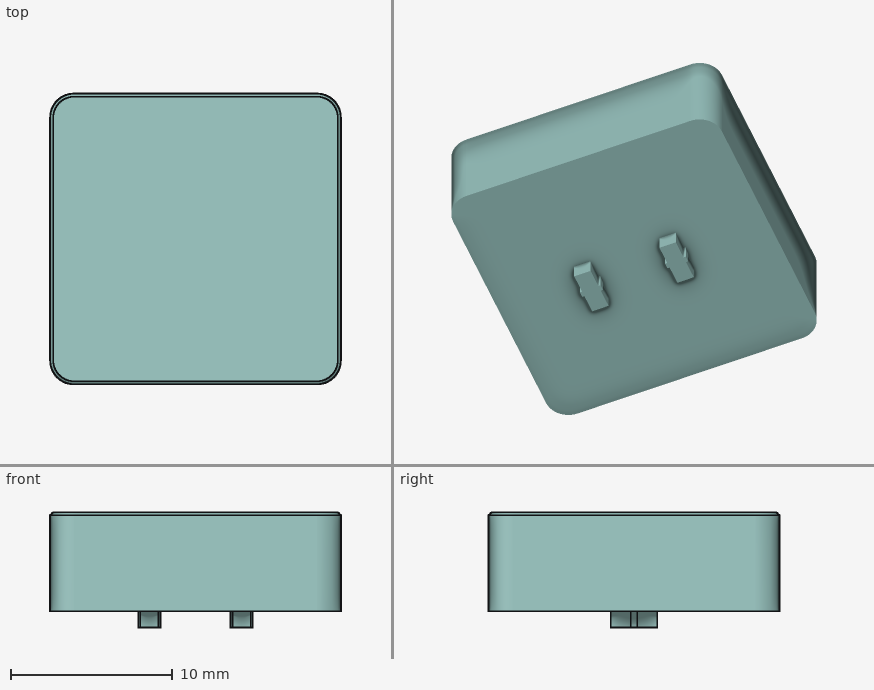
import cadquery as cq

side = 18.0
total_height = 7.15

leg_height = 1.0
body_height = total_height - leg_height
corner_radius = 1.5
top_bevel = 0.2

leg_spacing = 5.7
leg_thickness = 1.1
leg_length = 2.9
rib_width = 0.38
rib_projection = 0.15


def make_body():
    """Cap body with its underside at Z = 0."""
    block = cq.Workplane("XY").rect(side, side).extrude(body_height)
    rounded = block.edges("|Z").fillet(corner_radius)
    return rounded.faces(">Z").edges().chamfer(top_bevel)


def make_leg(center_x):
    """Leg hanging below Z = 0, cross-shaped in plan because of its ribs."""
    plane = cq.Workplane("XY").center(center_x, 0)
    blade = plane.rect(leg_thickness, leg_length).extrude(-leg_height)
    ribs = plane.rect(leg_thickness + 2 * rib_projection, rib_width).extrude(-leg_height)
    return blade.union(ribs)


result = make_body()
for direction in (-1, 1):
    result = result.union(make_leg(direction * leg_spacing / 2))

result = result.translate((0, 0, leg_height - total_height / 2))